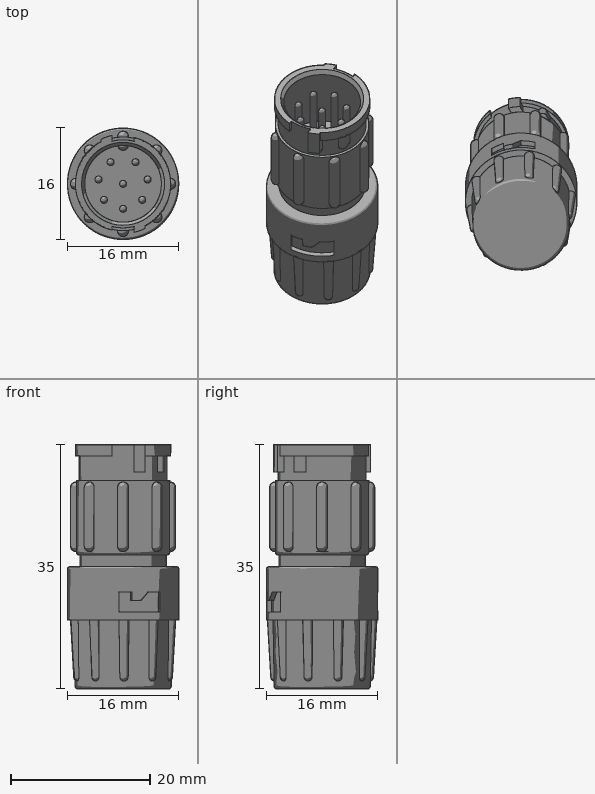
import cadquery as cq
import math

total_height = 35.05
flange_height = 1.6
key_height = 3.95
sleeve_top = 29.9
sleeve_bottom = 19.2
collar_top = 17.55
collar_bottom = 9.9

collar_radius = 8.0
sleeve_radius = 6.72
neck_radius = 6.2
plug_radius = 6.32
flange_radius = 6.84
nut_top_radius = 7.1
nut_bottom_radius = 6.92
sleeve_fillet = 0.5
collar_fillet = 0.35
nut_fillet = 0.45

bore_radius = 5.5
bore_floor = 25.0
mouth_chamfer_width = 0.45
mouth_chamfer_depth = 0.6
pin_radius = 0.5
pin_shoulder = 32.5
pin_circle_radius = 3.58
pin_pitch_angle = 50
pin_ring_count = 7
first_pin_angle = 120
polarizing_radius = 0.75
polarizing_offset = 5.55
polarizing_shoulder = 33.4

gap_half_width = 1.58
key_width = 1.58
key_outer_radius = 7.13
side_key_x = 5.89
side_key_round_y = -3.42
side_key_round_radius = 0.6

sleeve_rib_count = 8
sleeve_rib_radius = 0.8
sleeve_rib_offset = 6.75
sleeve_rib_low = 20.5
sleeve_rib_high = 28.9

nut_rib_count = 10
nut_rib_low = 1.75
nut_rib_start_angle = -88.9
nut_rib_low_radius = 0.63
nut_rib_high_radius = 0.73
nut_rib_low_offset = 6.75
nut_rib_high_offset = 7.17

window_left = -0.62
window_right = 5.33
window_low = 11.06
window_high = 13.94
tooth_left = 1.25
tooth_right = 2.58
tooth_ramp_end = 3.63
tooth_low = 12.73
window_corner = 0.25
window_angle = 18
window_floor_radius = 7.3


def cylinder(radius, low, high, x=0, y=0):
    return cq.Workplane("XY", origin=(x, y, low)).circle(radius).extrude(high - low)


def block(x_low, x_high, y_low, y_high, z_low, z_high):
    size = (x_high - x_low, y_high - y_low, z_high - z_low)
    return cq.Workplane("XY", origin=(x_low, y_low, z_low)).box(*size, centered=False)


def ball(radius, x, y, z):
    return cq.Workplane("XY", origin=(x, y, z)).sphere(radius)


def half_turn(shape):
    return shape.rotate((0, 0, 0), (0, 0, 1), 180)


def turned_body():
    cone = cq.Workplane(cq.Solid.makeCone(nut_bottom_radius, nut_top_radius, collar_bottom))
    nut = cone.faces("<Z").edges().fillet(nut_fillet)
    collar = cylinder(collar_radius, collar_bottom, collar_top).faces(">Z").edges().fillet(collar_fillet)
    neck = cylinder(neck_radius, collar_top, sleeve_bottom)
    sleeve = cylinder(sleeve_radius, sleeve_bottom, sleeve_top).faces("<Z").edges().fillet(sleeve_fillet)
    plug = cylinder(plug_radius, sleeve_top, total_height)
    return nut.union(collar).union(neck).union(sleeve).union(plug)


def flange():
    low = total_height - flange_height
    ring = cylinder(flange_radius, low, total_height)
    strip = block(-gap_half_width, gap_half_width, -flange_radius, flange_radius, low, total_height)
    gaps = strip.cut(cylinder(plug_radius, low, total_height))
    return ring.cut(gaps)


def stop_key():
    """Long key beside the flange gap, on the -Y side."""
    low = total_height - key_height
    blank = block(gap_half_width, gap_half_width + key_width, -collar_radius, 0, low, total_height)
    return blank.intersect(cylinder(key_outer_radius, low, total_height))


def side_key():
    """Key under the flange with a flat +X face that runs into a rounded -Y side."""
    low = total_height - key_height
    high = total_height - flange_height
    round_x = side_key_x - side_key_round_radius
    flat = block(round_x, side_key_x, side_key_round_y, 0, low, high)
    return flat.union(cylinder(side_key_round_radius, low, high, round_x, side_key_round_y))


def domed_pin(radius, shoulder, x, y):
    return cylinder(radius, bore_floor, shoulder, x, y).union(ball(radius, x, y, shoulder))


def sleeve_rib(angle):
    """Round-ended rib, turned about its own upright axis on the sleeve surface."""
    dome = sleeve_rib_radius * math.sqrt(0.5)
    capsule = (
        cq.Workplane("XZ", origin=(-sleeve_rib_offset, 0, 0))
        .moveTo(0, sleeve_rib_low - sleeve_rib_radius)
        .threePointArc((dome, sleeve_rib_low - dome), (sleeve_rib_radius, sleeve_rib_low))
        .lineTo(sleeve_rib_radius, sleeve_rib_high)
        .threePointArc((dome, sleeve_rib_high + dome), (0, sleeve_rib_high + sleeve_rib_radius))
        .close()
        .revolve(360, (0, 0, 0), (0, 1, 0))
    )
    return capsule.rotate((0, 0, 0), (0, 0, 1), angle)


def nut_rib(angle):
    """Tapered round rib that leans outwards and runs up into the collar."""
    low_point = cq.Vector(nut_rib_low_offset, 0, nut_rib_low)
    axis = cq.Vector(nut_rib_high_offset, 0, collar_bottom + nut_rib_low_radius) - low_point
    cone = cq.Solid.makeCone(nut_rib_low_radius, nut_rib_high_radius, axis.Length, pnt=low_point, dir=axis)
    tip = ball(nut_rib_low_radius, *low_point.toTuple())
    return cq.Workplane(cone).union(tip).rotate((0, 0, 0), (0, 0, 1), angle)


def bayonet_window():
    """Recess with a ramped tooth, cut at a slant into the -Y side of the collar."""
    slant = math.radians(window_angle)
    slant_plane = cq.Plane(
        origin=(0, 0, 0),
        xDir=(math.cos(slant), math.sin(slant), 0),
        normal=(math.sin(slant), -math.cos(slant), 0),
    )

    def corner(x, z):
        """Place in the slanted plane of the collar surface point at x and z."""
        y = -math.sqrt(collar_radius**2 - x**2)
        return (x * math.cos(slant) + y * math.sin(slant), z)

    outline = [
        corner(window_left, window_low),
        corner(window_right, window_low),
        corner(window_right, window_high),
        corner(tooth_ramp_end, window_high),
        corner(tooth_right, tooth_low),
        corner(tooth_left, tooth_low),
        corner(tooth_left, window_high),
        corner(window_left, window_high),
    ]
    prism = cq.Workplane(slant_plane).polyline(outline).close().extrude(collar_radius)
    along_slant = cq.selectors.ParallelDirSelector(slant_plane.zDir)
    rounded = prism.faces("<Z").edges(along_slant).fillet(window_corner)
    return rounded.cut(cylinder(window_floor_radius, window_low, window_high))


def socket():
    bore = cylinder(bore_radius, bore_floor, total_height)
    mouth = cq.Workplane(cq.Solid.makeCone(
        bore_radius,
        bore_radius + mouth_chamfer_width,
        mouth_chamfer_depth,
        pnt=cq.Vector(0, 0, total_height - mouth_chamfer_depth),
    ))
    return bore.union(mouth)


def contact_pins():
    """Centre pin, an evenly spaced ring with one wider gap, and the thick polarizing pin in that gap."""
    pins = [
        domed_pin(pin_radius, pin_shoulder, 0, 0),
        domed_pin(polarizing_radius, polarizing_shoulder, 0, polarizing_offset),
    ]
    for i in range(pin_ring_count):
        angle = math.radians(first_pin_angle + i * pin_pitch_angle)
        x = pin_circle_radius * math.cos(angle)
        y = pin_circle_radius * math.sin(angle)
        pins.append(domed_pin(pin_radius, pin_shoulder, x, y))
    return pins


body = turned_body().union(flange())
for key in (stop_key(), side_key()):
    body = body.union(key).union(half_turn(key))

for i in range(sleeve_rib_count):
    body = body.union(sleeve_rib(i * 360 / sleeve_rib_count))
for i in range(nut_rib_count):
    body = body.union(nut_rib(nut_rib_start_angle + i * 360 / nut_rib_count))

window = bayonet_window()
body = body.cut(window).cut(half_turn(window))

body = body.cut(socket())
for pin in contact_pins():
    body = body.union(pin)

result = body